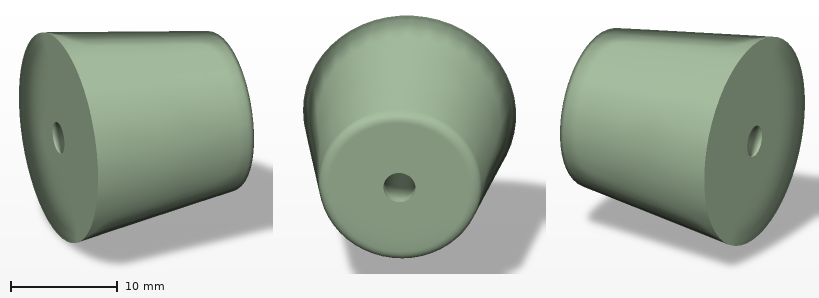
import cadquery as cq

base_diameter = 20.0
tip_diameter = 15.0
length = 17.0
tip_edge_radius = 1.0
hole_diameter = 3.0


def tapered_body():
    """Solid cone frustum about the Y axis with a rounded edge at the small end."""
    frustum = (
        cq.Workplane("XY")
        .lineTo(base_diameter / 2, 0)
        .lineTo(tip_diameter / 2, length)
        .lineTo(0, length)
        .close()
        .revolve(360, (0, 0, 0), (0, 1, 0))
    )
    return frustum.faces(">Y").edges().fillet(tip_edge_radius)


def screw_hole():
    """Cylinder that cuts the central hole through the full length."""
    return cq.Workplane("XZ").circle(hole_diameter / 2).extrude(-length)


result = tapered_body().cut(screw_hole())